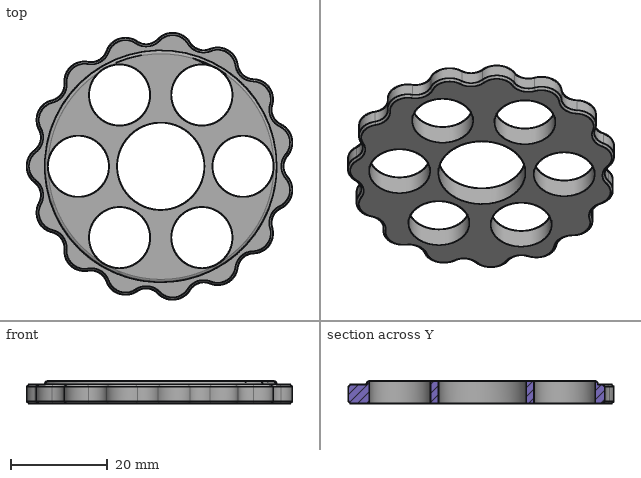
import cadquery as cq
import math

lobe_count = 15
outer_radius = 27.75
valley_radius = 25.4
lobe_radius = 4.2
wheel_thickness = 4.0
wheel_chamfer = 0.5

total_height = 4.7
disc_radius = 24.0
disc_fillet = 0.65

center_hole_radius = 9.0
hole_count = 6
hole_radius = 6.3
hole_circle_radius = 17.0

lobe_center_radius = outer_radius - lobe_radius
pitch = 360 / lobe_count
half_pitch = pitch / 2


def polar(radius, degrees):
    angle = math.radians(degrees)
    return (radius * math.cos(angle), radius * math.sin(angle))


def tangent_radius():
    """Distance from the wheel axis, and angle from a valley, of the point where valley and lobe arcs meet."""
    lobe_x, lobe_y = polar(lobe_center_radius, half_pitch)
    offset = valley_radius - lobe_x
    valley_arc_radius = (lobe_y**2 + offset**2 - lobe_radius**2) / (2 * (lobe_radius - offset))
    valley_x = valley_radius + valley_arc_radius
    share = valley_arc_radius / (valley_arc_radius + lobe_radius)
    x = valley_x + share * (lobe_x - valley_x)
    y = share * lobe_y
    return math.hypot(x, y), math.degrees(math.atan2(y, x))


def make_wheel():
    joint_radius, joint_angle = tangent_radius()
    outline = cq.Workplane("XY").moveTo(*polar(joint_radius, -joint_angle))
    for i in range(lobe_count):
        valley = i * pitch
        outline = outline.threePointArc(
            polar(valley_radius, valley),
            polar(joint_radius, valley + joint_angle),
        )
        outline = outline.threePointArc(
            polar(outer_radius, valley + half_pitch),
            polar(joint_radius, valley + pitch - joint_angle),
        )
    wheel = outline.close().extrude(wheel_thickness)
    return wheel.faces("<Z or >Z").chamfer(wheel_chamfer)


def make_disc():
    disc = cq.Workplane("XY").circle(disc_radius).extrude(total_height)
    return disc.faces(">Z").fillet(disc_fillet)


def make_holes():
    ring = cq.Workplane("XY").polarArray(hole_circle_radius, 0, 360, hole_count)
    holes = ring.circle(hole_radius).extrude(total_height)
    center_hole = cq.Workplane("XY").circle(center_hole_radius).extrude(total_height)
    return holes.union(center_hole)


result = make_wheel().union(make_disc()).cut(make_holes())